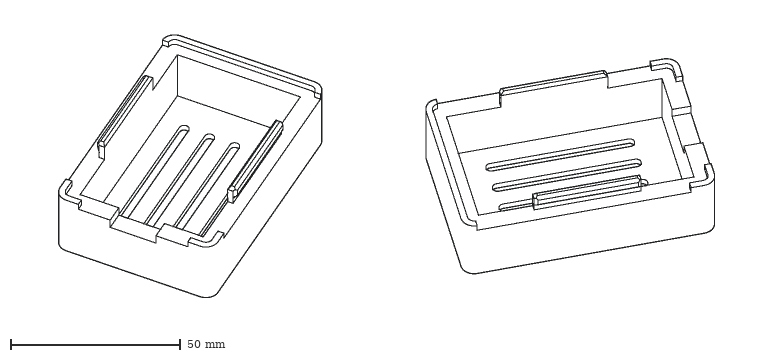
import cadquery as cq

length = 77.0
width = 52.0
corner_radius = 4.0
floor_thickness = 2.0
wall = 5.8
ledge_height = 19.0
notch_width = 15.0
notch_depth = 3.0

rim_height = 2.0
rim_thickness = 2.0
rim_return = 8.0
rim_top = ledge_height + rim_height

slot_count = 4
slot_width = 3.0
slot_length = 45.1
slot_pitch = 8.3
slot_offset = 0.15

total_height = 25.0
clip_length = 32.5
clip_thickness = 1.8
barb_depth = 1.0
inner_bevel = 0.8


def rounded_block(size_x, size_y, radius, bottom, top):
    block = cq.Workplane("XY").box(size_x, size_y, top - bottom, centered=(True, True, False))
    return block.edges("|Z").fillet(radius).translate((0, 0, bottom))


def block_between(x0, x1, y0, y1, z0, z1):
    block = cq.Workplane("XY").box(x1 - x0, y1 - y0, z1 - z0, centered=False)
    return block.translate((x0, y0, z0))


def make_body():
    body = rounded_block(width, length, corner_radius, 0, ledge_height)
    cavity = block_between(
        wall - width / 2, width / 2 - wall,
        wall - length / 2, length / 2 - wall,
        floor_thickness, ledge_height,
    )
    notch = block_between(
        -notch_width / 2, notch_width / 2,
        -length / 2, wall - length / 2,
        ledge_height - notch_depth, ledge_height,
    )
    slots = (
        cq.Workplane("XY")
        .center(slot_offset, 0)
        .rarray(slot_pitch, 0.8, slot_count, 1)
        .slot2D(slot_length, slot_width, 90)
        .extrude(floor_thickness)
    )
    return body.cut(cavity).cut(notch).cut(slots)


def make_rim():
    ring = rounded_block(width, length, corner_radius, ledge_height, rim_top)
    inside = rounded_block(
        width - 2 * rim_thickness, length - 2 * rim_thickness,
        corner_radius - rim_thickness, ledge_height, rim_top,
    )
    side_gap = block_between(
        -width / 2, width / 2,
        rim_return - length / 2, length / 2 - corner_radius,
        ledge_height, rim_top,
    )
    front_gap = block_between(
        rim_return - width / 2, width / 2 - rim_return,
        -length / 2, rim_return - length / 2,
        ledge_height, rim_top,
    )
    return ring.cut(inside).cut(side_gap).cut(front_gap)


def make_left_clip():
    inner_x = wall - width / 2
    stem_x = inner_x - clip_thickness
    outer_x = stem_x - barb_depth
    half = clip_length / 2
    bevel_z = total_height - barb_depth
    bevel_y = half - barb_depth

    section = (
        cq.Workplane("XZ")
        .moveTo(inner_x, ledge_height)
        .lineTo(inner_x, bevel_z)
        .lineTo(inner_x - inner_bevel, total_height)
        .lineTo(stem_x, total_height)
        .lineTo(outer_x, bevel_z)
        .lineTo(outer_x, rim_top + barb_depth)
        .lineTo(stem_x, rim_top)
        .lineTo(stem_x, ledge_height)
        .close()
        .extrude(half, both=True)
    )
    side_profile = (
        cq.Workplane("YZ", origin=(outer_x, 0, 0))
        .polyline([
            (-half, ledge_height), (half, ledge_height), (half, bevel_z),
            (bevel_y, total_height), (-bevel_y, total_height), (-half, bevel_z),
        ])
        .close()
        .extrude(inner_x - outer_x)
    )
    plan_profile = (
        cq.Workplane("XY", origin=(0, 0, ledge_height))
        .polyline([
            (inner_x, -half), (inner_x, half), (stem_x, half),
            (outer_x, bevel_y), (outer_x, -bevel_y), (stem_x, -half),
        ])
        .close()
        .extrude(total_height - ledge_height)
    )
    return section.intersect(side_profile).intersect(plan_profile)


left_clip = make_left_clip()
right_clip = left_clip.mirror("YZ")
result = make_body().union(make_rim()).union(left_clip).union(right_clip)